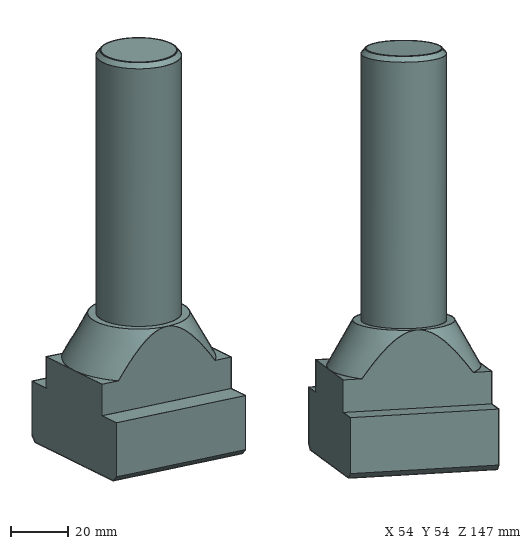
import cadquery as cq

total_height = 147.0
head_width = 54.0
head_height = 22.0
head_chamfer = 2.0
neck_width = 35.7
neck_top = 33.7
shoulder_top = 50.0
shank_diameter = 30.0
shank_chamfer_height = 1.8
shank_chamfer_width = 1.5
tip_bevel_height = 0.1
tip_bevel_width = 0.3

head = (
    cq.Workplane("XY")
    .box(head_width, head_width, head_height, centered=(True, True, False))
    .edges("|Y and <Z")
    .chamfer(head_chamfer)
)

neck = (
    cq.Workplane("XY", origin=(0, 0, head_height))
    .rect(neck_width, head_width)
    .extrude(neck_top - head_height)
)

shoulder_height = shoulder_top - neck_top
cone = cq.Workplane(
    cq.Solid.makeCone(head_width / 2, neck_width / 2, shoulder_height, pnt=cq.Vector(0, 0, neck_top))
)
trim = (
    cq.Workplane("XY", origin=(0, 0, neck_top))
    .rect(neck_width, head_width)
    .extrude(shoulder_height)
)
shoulder = cone.intersect(trim)

shank_radius = shank_diameter / 2
bevel_radius = shank_radius - shank_chamfer_width
tip_radius = bevel_radius - tip_bevel_width
bevel_start = total_height - tip_bevel_height
chamfer_start = bevel_start - shank_chamfer_height
shank = (
    cq.Workplane("XZ")
    .moveTo(0, shoulder_top)
    .lineTo(shank_radius, shoulder_top)
    .lineTo(shank_radius, chamfer_start)
    .lineTo(bevel_radius, bevel_start)
    .lineTo(tip_radius, total_height)
    .lineTo(0, total_height)
    .close()
    .revolve(360, (0, 0, 0), (0, 1, 0))
)

result = head.union(neck).union(shoulder).union(shank)